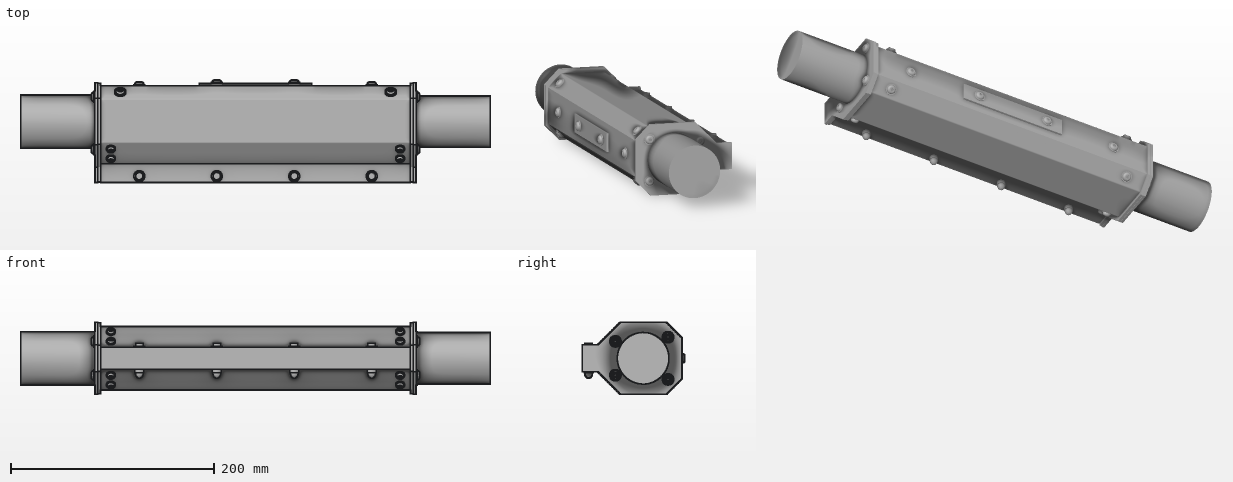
import cadquery as cq
import math

TOTAL_LENGTH = 462.0
HOUSING_LENGTH = 305.0
LAYER_THICKNESS = 3.0
LEFT_TUBE_DIAMETER = 52.5
RIGHT_TUBE_DIAMETER = 51.0
HOUSING_END = HOUSING_LENGTH / 2
PLATE_FACE = HOUSING_END + 2 * LAYER_THICKNESS
TUBE_LENGTH = TOTAL_LENGTH / 2 - PLATE_FACE

FLANGE_EDGE = -60.0
HOUSING_BACK = 35.5
HOUSING_HALF_HEIGHT = 31.5
HOUSING_FLAT_BACK = 22.0
HOUSING_FLAT_FRONT = -21.0
HOUSING_BACK_HALF = HOUSING_HALF_HEIGHT - (HOUSING_BACK - HOUSING_FLAT_BACK)
FLANGE_START = -41.5
FLANGE_HALF = 10.5
BEND_RADIUS = 2.0

PLATE_BACK = 38.5
PLATE_HALF_HEIGHT = 35.5
PLATE_BACK_CHAMFER = 15.2
PLATE_FLAT_FRONT = -22.5
PLATE_NECK_START = -45.0
PLATE_NECK_HALF = 13.5
GASKET_INSET = 0.5

LARGE_RIM = 11.0
LARGE_DOME = 9.0
SMALL_RIM = 9.0
SMALL_DOME = 7.5
RIM_THICKNESS = 1.0
HEAD_HEIGHT = 3.45
DOME_TOP_RATIO = 0.6
SOCKET_SIZE = 3.2
SOCKET_DEPTH = 2.0

EMBED = 1.0

FLANGE_SCREW_COUNT = 4
FLANGE_SCREW_PITCH = 76.0
FLANGE_SCREW_Y = -53.5
BOLT_WASHER_DIAMETER = 10.5
BOLT_WASHER_THICKNESS = 1.5
BOLT_HEAD_DIAMETER = 7.5
BOLT_HEAD_HEIGHT = 4.0
NUT_DIAMETER = 9.0
NUT_DOME_DIAMETER = 7.5
NUT_TIP_DIAMETER = 2.5
NUT_HEIGHT = 3.5
NUT_DOME_HEIGHT = 5.0

BACK_CORNER_SCREW_X = 133.0
SLOPE_SCREW_X = 142.5
SLOPE_SCREW_SPACING = 13.5
PLATE_SCREWS = [(24.5, 21.0), (-27.3, 16.5)]

LABEL_LENGTH = 111.0
LABEL_HEIGHT = 18.5
LABEL_THICKNESS = 2.1


def mirrored_outline(upper_points):
    """Close an upper half outline of (y, z) points with its mirror image below the XY plane."""
    lower_points = [(y, -z) for y, z in reversed(upper_points)]
    return upper_points + lower_points


def slab(outline, x_start, length):
    """Extrude a (y, z) outline along +X."""
    return cq.Workplane("YZ", origin=(x_start, 0, 0)).polyline(outline).close().extrude(length)


def domed_stack(base_radius, base_height, dome_radius, top_radius, total_height):
    """Round base carrying a narrower dome with a flat top; the base is sunk into the face at Z = 0."""
    arc_middle_radius = top_radius + (dome_radius - top_radius) * math.sin(math.pi / 4)
    arc_middle_height = base_height + (total_height - base_height) * math.sin(math.pi / 4)
    profile = (
        cq.Workplane("XZ")
        .moveTo(0, -EMBED)
        .lineTo(base_radius, -EMBED)
        .lineTo(base_radius, base_height)
        .lineTo(dome_radius, base_height)
        .threePointArc((arc_middle_radius, arc_middle_height), (top_radius, total_height))
        .lineTo(0, total_height)
        .close()
    )
    return profile.revolve(360, (0, 0, 0), (0, 1, 0))


def screw(position, direction, rim_diameter, dome_diameter):
    """Button head screw standing on a face at the given position."""
    dome_radius = dome_diameter / 2
    top_radius = dome_radius * DOME_TOP_RATIO
    head = domed_stack(rim_diameter / 2, RIM_THICKNESS, dome_radius, top_radius, HEAD_HEIGHT)
    socket = cq.Workplane("XY", origin=(0, 0, HEAD_HEIGHT)).polygon(6, SOCKET_SIZE).extrude(-SOCKET_DEPTH)
    plane = cq.Plane(origin=position, normal=direction)
    return head.cut(socket).val().moved(cq.Location(plane))


def flange_bolt(x):
    """Washer and bolt head standing on the flange."""
    washer = cq.Workplane("XY").circle(BOLT_WASHER_DIAMETER / 2).extrude(BOLT_WASHER_THICKNESS)
    head = cq.Workplane("XY").circle(BOLT_HEAD_DIAMETER / 2).extrude(BOLT_HEAD_HEIGHT)
    return washer.union(head).translate((x, FLANGE_SCREW_Y, FLANGE_HALF))


def cap_nut(x):
    """Domed nut hanging under the flange."""
    total_height = NUT_HEIGHT + NUT_DOME_HEIGHT
    dome_radius = NUT_DOME_DIAMETER / 2
    nut = domed_stack(NUT_DIAMETER / 2, NUT_HEIGHT, dome_radius, NUT_TIP_DIAMETER / 2, total_height)
    return nut.mirror("XY").translate((x, FLANGE_SCREW_Y, -FLANGE_HALF))


housing_outline = mirrored_outline([
    (FLANGE_EDGE, FLANGE_HALF),
    (FLANGE_START, FLANGE_HALF),
    (HOUSING_FLAT_FRONT, HOUSING_HALF_HEIGHT),
    (HOUSING_FLAT_BACK, HOUSING_HALF_HEIGHT),
    (HOUSING_BACK, HOUSING_BACK_HALF),
])
housing = slab(housing_outline, -HOUSING_END, HOUSING_LENGTH)
housing = housing.faces(">Z or <Z").edges("|X").fillet(BEND_RADIUS)

cover_outline = mirrored_outline([
    (FLANGE_EDGE, PLATE_NECK_HALF),
    (PLATE_NECK_START, PLATE_NECK_HALF),
    (PLATE_FLAT_FRONT, PLATE_HALF_HEIGHT),
    (PLATE_BACK - PLATE_BACK_CHAMFER, PLATE_HALF_HEIGHT),
    (PLATE_BACK, PLATE_HALF_HEIGHT - PLATE_BACK_CHAMFER),
])
cover = slab(cover_outline, HOUSING_END + LAYER_THICKNESS, LAYER_THICKNESS)
gasket = (
    cq.Workplane("YZ", origin=(HOUSING_END, 0, 0))
    .polyline(cover_outline).close()
    .offset2D(-GASKET_INSET)
    .extrude(LAYER_THICKNESS)
)
end_plates = gasket.union(cover)
result = housing.union(end_plates).union(end_plates.mirror("YZ"))

for x_side, diameter in ((-1, LEFT_TUBE_DIAMETER), (1, RIGHT_TUBE_DIAMETER)):
    tube = cq.Workplane("YZ", origin=(x_side * PLATE_FACE, 0, 0)).circle(diameter / 2)
    result = result.union(tube.extrude(x_side * TUBE_LENGTH))

label = cq.Workplane("XY").box(LABEL_LENGTH, LABEL_THICKNESS + EMBED, LABEL_HEIGHT)
label_y = HOUSING_BACK + (LABEL_THICKNESS - EMBED) / 2
result = result.union(label.translate((0, label_y, 0)))

for index in range(FLANGE_SCREW_COUNT):
    x = (index - (FLANGE_SCREW_COUNT - 1) / 2) * FLANGE_SCREW_PITCH
    is_on_label = abs(x) < LABEL_LENGTH / 2
    back_y = HOUSING_BACK + LABEL_THICKNESS if is_on_label else HOUSING_BACK
    result = result.union(flange_bolt(x))
    result = result.union(cap_nut(x))
    result = result.union(screw((x, back_y, 0), (0, 1, 0), LARGE_RIM, LARGE_DOME))

slope_run = HOUSING_FLAT_FRONT - FLANGE_START
slope_rise = HOUSING_HALF_HEIGHT - FLANGE_HALF
slope_length = math.hypot(slope_run, slope_rise)
slope_mid_y = (HOUSING_FLAT_FRONT + FLANGE_START) / 2
slope_mid_z = (HOUSING_HALF_HEIGHT + FLANGE_HALF) / 2
corner_y = (HOUSING_BACK + HOUSING_FLAT_BACK) / 2
corner_z = (HOUSING_HALF_HEIGHT + HOUSING_BACK_HALF) / 2

for x_side in (-1, 1):
    for z_side in (-1, 1):
        corner_position = (x_side * BACK_CORNER_SCREW_X, corner_y, z_side * corner_z)
        result = result.union(screw(corner_position, (0, 1, z_side), LARGE_RIM, LARGE_DOME))

        for step in (-SLOPE_SCREW_SPACING / 2, SLOPE_SCREW_SPACING / 2):
            y = slope_mid_y + step * slope_run / slope_length
            z = slope_mid_z + step * slope_rise / slope_length
            position = (x_side * SLOPE_SCREW_X, y, z_side * z)
            normal = (0, -slope_rise, z_side * slope_run)
            result = result.union(screw(position, normal, SMALL_RIM, SMALL_DOME))

        for y, z in PLATE_SCREWS:
            position = (x_side * PLATE_FACE, y, z_side * z)
            result = result.union(screw(position, (x_side, 0, 0), LARGE_RIM, LARGE_DOME))